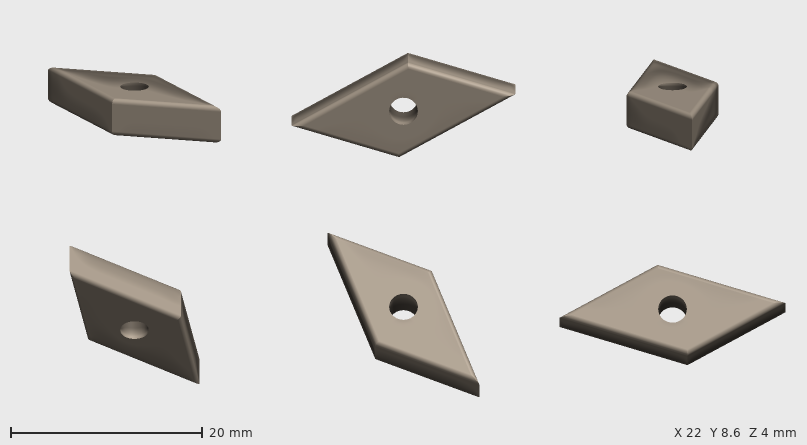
import cadquery as cq

length = 22.0
width = 8.6
thickness = 4.0
straight_edge = 14.0
edge_radius = 0.5
hole_diameter = 3.0

half_length = length / 2
half_width = width / 2

outline = [
    (-half_length, -half_width),
    (straight_edge - half_length, -half_width),
    (half_length, half_width),
    (half_length - straight_edge, half_width),
]

plate = cq.Workplane("XY").polyline(outline).close().extrude(thickness / 2, both=True)

plate = plate.faces("|Z").edges().fillet(edge_radius)

hole = cq.Workplane("XY").circle(hole_diameter / 2).extrude(thickness, both=True)
result = plate.cut(hole)